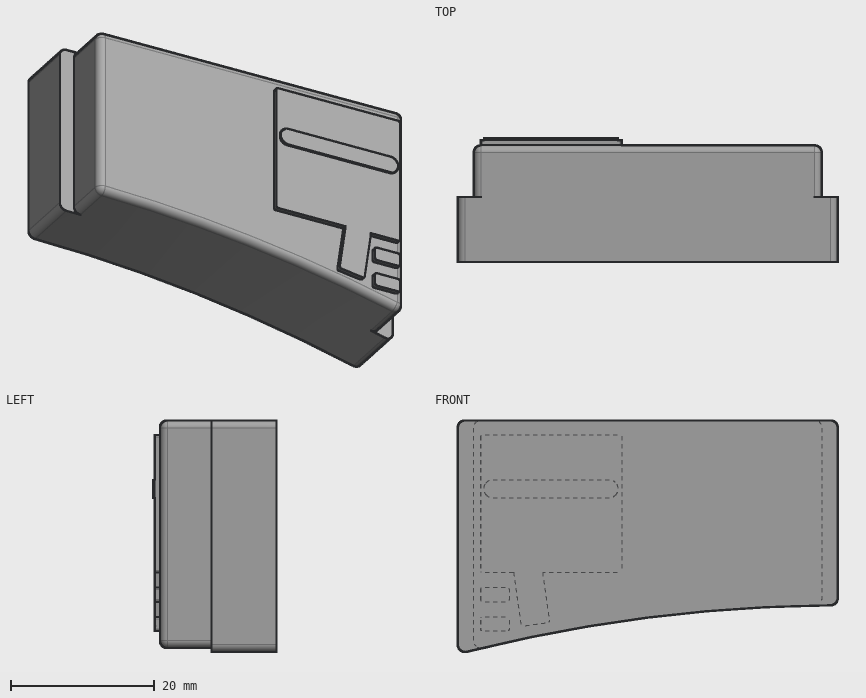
import cadquery as cq
import math


WIDTH = 53.0
FLANGE_DEPTH = 9.1
BODY_DEPTH = 16.3
BODY_INSET = 2.23
EDGE_RADIUS = 1.05

UNDERSIDE_RADIUS = 213.5
UNDERSIDE_CENTER_X = 53.5
UNDERSIDE_TOP_Z = -25.8

PAD_RISE = 0.7
PAD_LEFT = 3.2
PAD_RADIUS = 0.3
DISPLAY_WIDTH = 19.7
DISPLAY_TOP = -2.05
DISPLAY_HEIGHT = 19.2

KEY_WIDTH = 4.0
KEY_HEIGHT = 2.0
KEY_TOPS = (-23.3, -27.4)

STRIP_GAP = 1.0
STRIP_WIDTH = 4.0
STRIP_TOP = -19.0
STRIP_HEIGHT = 9.5
STRIP_TILT = 8.0

OUTER_DEPTH = 17.27
PLATE_LEFT = 3.65
PLATE_WIDTH = 18.7
PLATE_TOP = -8.3
PLATE_HEIGHT = 2.5
PLATE_END_FLAT = 0.05


def underside_z(x):
    """Height of the concave underside at a given X."""
    drop = UNDERSIDE_RADIUS - math.sqrt(UNDERSIDE_RADIUS**2 - (x - UNDERSIDE_CENTER_X) ** 2)
    return UNDERSIDE_TOP_Z - drop


def housing_block(left, right, depth):
    """Block from the front face with an arched underside and rounded corners."""
    middle = (left + right) / 2
    return (
        cq.Workplane("XZ")
        .moveTo(left, 0)
        .lineTo(right, 0)
        .lineTo(right, underside_z(right))
        .threePointArc((middle, underside_z(middle)), (left, underside_z(left)))
        .close()
        .extrude(-depth)
        .edges("|Y")
        .fillet(EDGE_RADIUS)
    )


def raised_pad(left, top, width, height, base_y, rise, radius, tilt=0.0):
    """Rounded rectangular pad standing on a plane facing +Y, turned about its centre by tilt."""
    pad = cq.Workplane("XZ").rect(width, height).extrude(-rise).edges("|Y").fillet(radius)
    turned = pad.rotate((0, 0, 0), (0, 1, 0), -tilt)
    return turned.translate((left + width / 2, base_y, top - height / 2))


def housing():
    flange = housing_block(0, WIDTH, FLANGE_DEPTH)
    body = housing_block(BODY_INSET, WIDTH - BODY_INSET, BODY_DEPTH)
    body = body.faces(">Y").edges().fillet(EDGE_RADIUS)
    return flange.union(body)


def display():
    pad = raised_pad(
        PAD_LEFT, DISPLAY_TOP, DISPLAY_WIDTH, DISPLAY_HEIGHT, BODY_DEPTH, PAD_RISE, PAD_RADIUS
    )
    pad_face = BODY_DEPTH + PAD_RISE
    end_radius = (PLATE_HEIGHT - PLATE_END_FLAT) / 2
    plate = raised_pad(
        PLATE_LEFT, PLATE_TOP, PLATE_WIDTH, PLATE_HEIGHT, pad_face, OUTER_DEPTH - pad_face, end_radius
    )
    return pad.union(plate)


def key(top):
    return raised_pad(PAD_LEFT, top, KEY_WIDTH, KEY_HEIGHT, BODY_DEPTH, PAD_RISE, PAD_RADIUS)


def tilted_strip():
    left = PAD_LEFT + KEY_WIDTH + STRIP_GAP
    return raised_pad(
        left, STRIP_TOP, STRIP_WIDTH, STRIP_HEIGHT, BODY_DEPTH, PAD_RISE, PAD_RADIUS, STRIP_TILT
    )


result = housing().union(display()).union(tilted_strip())
for key_top in KEY_TOPS:
    result = result.union(key(key_top))